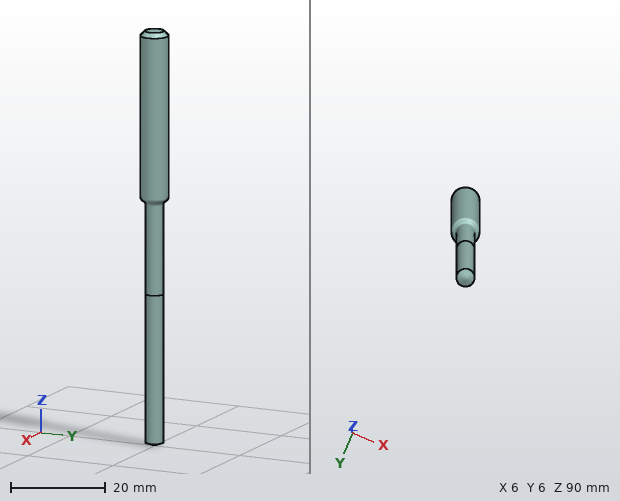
import cadquery as cq
import math

total_length = 90.0
shank_diameter = 6.0
drill_diameter = 3.9
shank_length = 36.0
shank_chamfer = 1.0
cutting_length = 32.9
point_angle = 140.0
shoulder_radius = 0.9

shank_radius = shank_diameter / 2
drill_radius = drill_diameter / 2
shoulder_top = total_length - shank_length
shoulder_turn = math.acos(1 - (shank_radius - drill_radius) / (2 * shoulder_radius))
shoulder_bottom = shoulder_top - 2 * shoulder_radius * math.sin(shoulder_turn)
point_height = drill_radius / math.tan(math.radians(point_angle / 2))


def make_shank():
    """Chamfered shank that runs through a rounded shoulder into the neck."""

    def convex_point(angle):
        return (
            shank_radius - shoulder_radius * (1 - math.cos(angle)),
            shoulder_top - shoulder_radius * math.sin(angle),
        )

    def concave_point(angle):
        return (
            drill_radius + shoulder_radius * (1 - math.cos(angle)),
            shoulder_bottom + shoulder_radius * math.sin(angle),
        )

    return (
        cq.Workplane("XZ")
        .moveTo(0, cutting_length)
        .lineTo(drill_radius, cutting_length)
        .lineTo(drill_radius, shoulder_bottom)
        .threePointArc(concave_point(shoulder_turn / 2), concave_point(shoulder_turn))
        .threePointArc(convex_point(shoulder_turn / 2), (shank_radius, shoulder_top))
        .lineTo(shank_radius, total_length - shank_chamfer)
        .lineTo(shank_radius - shank_chamfer, total_length)
        .lineTo(0, total_length)
        .close()
        .revolve(360, (0, 0, 0), (0, 1, 0))
    )


def make_cutting_part():
    """Plain cylinder with a conical drill point."""
    return (
        cq.Workplane("XZ")
        .moveTo(0, 0)
        .lineTo(drill_radius, point_height)
        .lineTo(drill_radius, cutting_length)
        .lineTo(0, cutting_length)
        .close()
        .revolve(360, (0, 0, 0), (0, 1, 0))
    )


shank = make_shank()
cutting_part = make_cutting_part()
result = cq.Compound.makeCompound([shank.val(), cutting_part.val()])